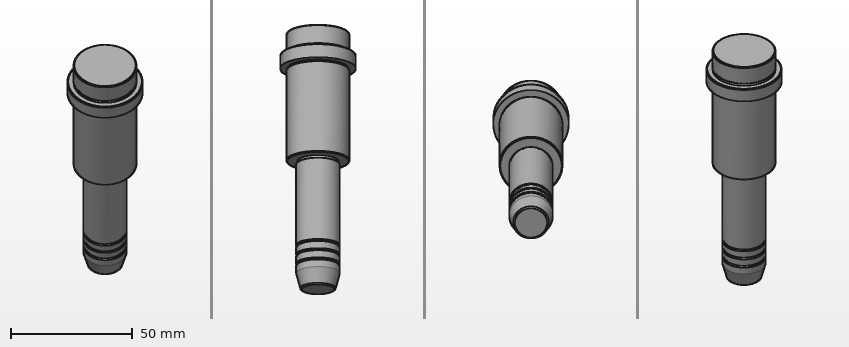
import cadquery as cq

total_length = 110.0
flange_top = 101.0
flange_bottom = 95.0
body_bottom = 55.1
pin_top = 53.9
taper_length = 7.0

flange_diameter = 31.0
body_diameter = 26.0
relief_diameter = 24.9
pin_diameter = 18.0
neck_diameter = 17.0
tip_diameter = 14.3

edge_chamfer = 0.4
tip_chamfer = 0.5
relief_width = 1.0
relief_cone_height = 0.7
groove_width = 1.0
groove_depth = 0.5
groove_count = 3
groove_pitch = 4.0
lowest_groove_bottom = 10.0


def cylinder(diameter, bottom, top):
    """Solid cylinder on the Z axis between two heights."""
    return cq.Workplane("XY").workplane(offset=bottom).circle(diameter / 2).extrude(top - bottom)


def cone(bottom_diameter, top_diameter, bottom, top):
    """Solid truncated cone on the Z axis between two heights."""
    return (
        cq.Workplane("XY")
        .workplane(offset=bottom)
        .circle(bottom_diameter / 2)
        .workplane(offset=top - bottom)
        .circle(top_diameter / 2)
        .loft(ruled=True)
    )


def relief(bottom):
    """Cutter for a relief: a cone narrowing upward, then a short straight neck."""
    cone_top = bottom + relief_cone_height
    relief_top = bottom + relief_width
    core = cone(body_diameter, relief_diameter, bottom, cone_top)
    core = core.union(cylinder(relief_diameter, cone_top, relief_top))
    return cylinder(flange_diameter, bottom, relief_top).cut(core)


def v_groove(bottom):
    """Cutter for a symmetric V-shaped groove around the pin."""
    middle = bottom + groove_width / 2
    top = bottom + groove_width
    root_diameter = pin_diameter - 2 * groove_depth
    core = cone(pin_diameter, root_diameter, bottom, middle)
    core = core.union(cone(root_diameter, pin_diameter, middle, top))
    return cylinder(flange_diameter, bottom, top).cut(core)


def make_head():
    """Body and head with a flange and a relief on each side of it."""
    body = cylinder(body_diameter, body_bottom, total_length).faces("<Z or >Z").chamfer(edge_chamfer)
    for relief_bottom in (flange_bottom - relief_width, flange_top):
        body = body.cut(relief(relief_bottom))
    flange = cylinder(flange_diameter, flange_bottom, flange_top).faces(">Z").chamfer(edge_chamfer)
    return body.union(flange)


def make_pin():
    """Grooved pin with a tapered, chamfered tip."""
    pin = cylinder(pin_diameter, taper_length, pin_top)
    for index in range(groove_count):
        pin = pin.cut(v_groove(lowest_groove_bottom + index * groove_pitch))
    taper = cone(tip_diameter, pin_diameter, 0, taper_length).faces("<Z").chamfer(tip_chamfer)
    return pin.union(taper)


neck = cylinder(neck_diameter, pin_top, body_bottom)
result = make_head().union(neck).union(make_pin())